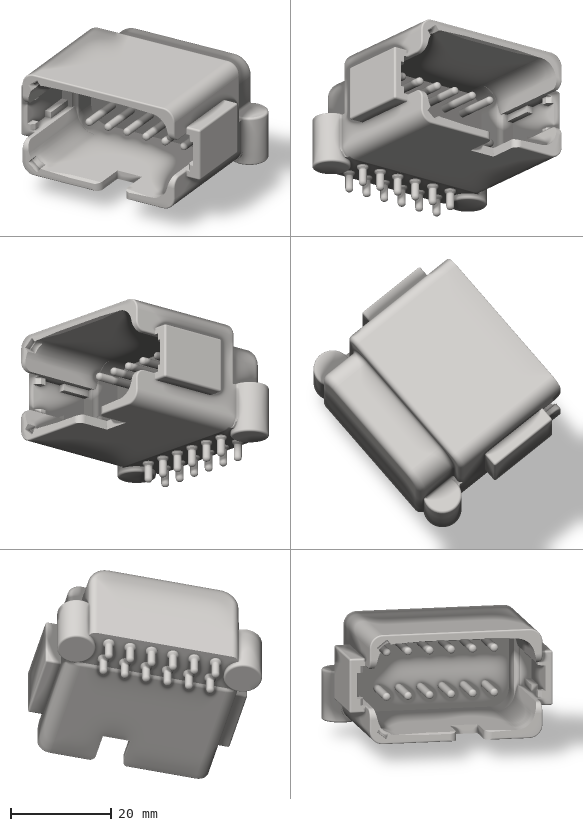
import cadquery as cq
import math


SHELL_WIDTH = 35.3
SHELL_HEIGHT = 22.25
SHELL_LENGTH = 26.2
SHELL_CORNER_RADIUS = 2.65
SHELL_REAR_FILLET = 0.95
MOUTH_FILLET = 0.3
SHELL_HALF_WIDTH = SHELL_WIDTH / 2
MID_HEIGHT = SHELL_HEIGHT / 2

CAVITY_WIDTH = 31.9
CAVITY_HEIGHT = 18.6
CAVITY_CORNER_RADIUS = 3.8
CAVITY_DEPTH = 24.3
FRONT_FLOOR_WIDTH = 30.5
FRONT_WALL_TILT = 14.4
LEAD_IN_DROP = 0.25
LEAD_IN_DEPTH = 0.9
LEAD_IN_FLAT_X = 6.6
LEAD_IN_END_X = 11.8
LEAD_IN_END_SCALE = 0.02
CAVITY_HALF_WIDTH = CAVITY_WIDTH / 2

SLOT_HEIGHT = 8.05
SLOT_MOUTH_RADIUS = 2.0
HOUSING_FRONT = 4.8
HOUSING_REAR = 19.85
HOUSING_HALF_WIDTH = 20.78
HOUSING_HEIGHT = 11.1
HOUSING_FILLET = 0.4
HOUSING_WALL = 1.5
RECESS_HALF_WIDTH = 19.25
RECESS_END = HOUSING_REAR - HOUSING_WALL
RECESS_END_FILLET = 0.95

STOP_HEIGHT = 1.4
STOP_INNER_X = 17.85
STOP_LENGTH = 2.0
STOP_BEVEL_X = 0.7
STOP_BEVEL_Y = 0.8
REAR_STOP_FRONT = 11.8

NOTCH_CENTER_X = 3.05
NOTCH_WIDTH = 5.7
NOTCH_DEPTH = 7.3
NOTCH_CORNER_RADIUS = 1.5

KEY_ANGLE = 128
KEY_WIDTH = 2.6
KEY_REACH = 4.95
KEY_DEPTH = 1.2
KEY_FILLET = 0.85

BLOCK_HALF_WIDTH = 15.45
BLOCK_BOTTOM = 0.42
BLOCK_TOP = 19.55
BLOCK_REAR = 34.9
BLOCK_CORNER_RADIUS = 4.0
BLOCK_REAR_FILLET = 1.5
BLOCK_COVE = 0.5

EAR_RADIUS = 3.825
EAR_OUTER_X = 20.975
EAR_X = EAR_OUTER_X - EAR_RADIUS
EAR_Y = 30.45
EAR_BOTTOM = -0.7
EAR_TOP = 9.75
EAR_TOP_FILLET = 0.45
EAR_BOTTOM_FILLET = 0.4
WEB_INNER_X = 14.0
WEB_FLARE = 0.25
WEB_FLARE_RADIUS = 0.5

PIN_COLUMNS = 6
PIN_PITCH = 4.4
PIN_DIAMETER = 1.6
PIN_TIP_FILLET = 0.7
CONTACT_ROW_SPACING = 9.1
CONTACT_TIP_Y = 14.5
TAIL_ROWS_Y = (28.2, 32.65)
TOTAL_HEIGHT = 25.99
TAIL_TIP_Z = SHELL_HEIGHT - TOTAL_HEIGHT
TAIL_COLLAR_DIAMETER = 2.3
TAIL_COLLAR_BOTTOM = -0.4

OVERLAP = 1.0
PICK_MARGIN = 0.01


def box(x0, x1, y0, y1, z0, z1):
    return cq.Workplane("XY").box(x1 - x0, y1 - y0, z1 - z0, centered=False).translate((x0, y0, z0))


def mirrored(body):
    """The body together with its mirror image across X = 0."""
    return body.union(body.mirror("YZ"))


def rounded_bar(width, height, radius, y0, y1):
    bar = box(-width / 2, width / 2, y0, y1, MID_HEIGHT - height / 2, MID_HEIGHT + height / 2)
    return bar.edges("|Y").fillet(radius)


def slot_mouth():
    """Side slot from the mouth back into the housing, flaring open at the mouth."""
    half = SLOT_HEIGHT / 2
    flared = half + SLOT_MOUTH_RADIUS
    diagonal = SLOT_MOUTH_RADIUS * (1 - math.sqrt(0.5))
    rear = HOUSING_FRONT + OVERLAP
    profile = (
        cq.Workplane("YZ")
        .moveTo(rear, -half)
        .lineTo(SLOT_MOUTH_RADIUS, -half)
        .threePointArc((diagonal, -half - diagonal), (0, -flared))
        .lineTo(0, flared)
        .threePointArc((diagonal, half + diagonal), (SLOT_MOUTH_RADIUS, half))
        .lineTo(rear, half)
        .close()
    )
    inner_x = CAVITY_HALF_WIDTH - OVERLAP
    slot = profile.extrude(SHELL_HALF_WIDTH + OVERLAP - inner_x)
    return slot.translate((inner_x, 0, MID_HEIGHT))


def make_shell():
    shell = rounded_bar(SHELL_WIDTH, SHELL_HEIGHT, SHELL_CORNER_RADIUS, 0, SHELL_LENGTH)
    shell = shell.faces(">Y").edges().fillet(SHELL_REAR_FILLET)
    shell = shell.cut(mirrored(slot_mouth()))
    for mouth_edge_z in (0, SHELL_HEIGHT):
        mouth_edge = cq.selectors.NearestToPointSelector((0, 0, mouth_edge_z))
        shell = shell.edges(mouth_edge).fillet(MOUTH_FILLET)
    return shell


def latch_housing():
    housing = box(
        SHELL_HALF_WIDTH - OVERLAP,
        HOUSING_HALF_WIDTH,
        HOUSING_FRONT,
        HOUSING_REAR,
        MID_HEIGHT - HOUSING_HEIGHT / 2,
        MID_HEIGHT + HOUSING_HEIGHT / 2,
    )
    return housing.edges("not <X").fillet(HOUSING_FILLET)


def rounded_end_plan(outer_x, height):
    """Slab from the centre to outer_x whose far end is rounded into the narrower cavity wall."""
    round_end = RECESS_END + RECESS_END_FILLET
    profile = (
        cq.Workplane("XY")
        .lineTo(outer_x, 0)
        .lineTo(outer_x, RECESS_END)
        .lineTo(CAVITY_HALF_WIDTH + RECESS_END_FILLET, RECESS_END)
        .radiusArc((CAVITY_HALF_WIDTH, round_end), -RECESS_END_FILLET)
        .lineTo(0, round_end)
        .close()
    )
    return profile.extrude(height / 2, both=True).translate((0, 0, MID_HEIGHT))


def latch_recess():
    recess = rounded_end_plan(RECESS_HALF_WIDTH, SLOT_HEIGHT)
    in_front = box(0, RECESS_HALF_WIDTH, 0, HOUSING_FRONT, 0, SHELL_HEIGHT)
    return recess.cut(in_front)


def latch_stops():
    outer_x = RECESS_HALF_WIDTH + HOUSING_WALL / 2
    front_stop = (
        cq.Workplane("XY")
        .moveTo(outer_x, HOUSING_FRONT)
        .lineTo(STOP_INNER_X + STOP_BEVEL_X, HOUSING_FRONT)
        .lineTo(STOP_INNER_X, HOUSING_FRONT + STOP_BEVEL_Y)
        .lineTo(STOP_INNER_X, HOUSING_FRONT + STOP_LENGTH)
        .lineTo(outer_x, HOUSING_FRONT + STOP_LENGTH)
        .close()
        .extrude(STOP_HEIGHT)
    )
    rear_stop = box(STOP_INNER_X, outer_x, REAR_STOP_FRONT, RECESS_END, 0, STOP_HEIGHT)
    pair = front_stop.union(rear_stop)
    lower = pair.translate((0, 0, MID_HEIGHT - SLOT_HEIGHT / 2))
    upper = pair.translate((0, 0, MID_HEIGHT + SLOT_HEIGHT / 2 - STOP_HEIGHT))
    return lower.union(upper)


def front_cavity():
    """Six-sided front part of the cavity, widest at mid-height, with round floor and roof corners."""
    half_height = CAVITY_HEIGHT / 2
    half_floor = FRONT_FLOOR_WIDTH / 2
    half_middle = half_floor + half_height * math.tan(math.radians(FRONT_WALL_TILT))
    corners = [
        (half_floor, half_height),
        (half_middle, 0),
        (half_floor, -half_height),
        (-half_floor, -half_height),
        (-half_middle, 0),
        (-half_floor, half_height),
    ]
    length = RECESS_END + RECESS_END_FILLET
    body = cq.Workplane("XZ").polyline(corners).close().extrude(-length)
    body = body.edges("|Y").edges("<Z or >Z").fillet(CAVITY_CORNER_RADIUS)
    body = body.translate((0, 0, MID_HEIGHT))
    return body.intersect(mirrored(rounded_end_plan(SHELL_HALF_WIDTH, SHELL_HEIGHT)))


def cavity():
    rear = rounded_bar(CAVITY_WIDTH, CAVITY_HEIGHT, CAVITY_CORNER_RADIUS, RECESS_END, CAVITY_DEPTH)
    return front_cavity().union(rear)


def lead_in_section(x, scale):
    """Triangular wire of the lead-in above the cavity roof, in the plane at x."""
    roof = MID_HEIGHT + CAVITY_HEIGHT / 2
    corners = (
        (x, 0, roof),
        (x, 0, roof + scale * LEAD_IN_DROP),
        (x, scale * LEAD_IN_DEPTH, roof),
    )
    return cq.Wire.makePolygon([cq.Vector(*corner) for corner in corners], close=True)


def lead_ins():
    """Shallow ramps into the cavity roof and floor, even in the middle and fading out sideways."""
    middle_section = lead_in_section(LEAD_IN_FLAT_X, 1)
    end_section = lead_in_section(LEAD_IN_END_X, LEAD_IN_END_SCALE)
    middle = cq.Solid.makeLoft([lead_in_section(0, 1), middle_section], True)
    fade = cq.Solid.makeLoft([middle_section, end_section], True)
    roof_ramp = mirrored(cq.Workplane(middle).union(cq.Workplane(fade)))
    return roof_ramp.union(roof_ramp.mirror("XY", (0, 0, MID_HEIGHT)))


def floor_notch():
    """Notch through the floor, with its two mouth corners rounded outwards."""
    half = NOTCH_WIDTH / 2
    radius = NOTCH_CORNER_RADIUS
    profile = (
        cq.Workplane("XY")
        .moveTo(-half, NOTCH_DEPTH)
        .lineTo(-half, radius)
        .radiusArc((-half - radius, 0), radius)
        .lineTo(half + radius, 0)
        .radiusArc((half, radius), radius)
        .lineTo(half, NOTCH_DEPTH)
        .close()
    )
    notch = profile.extrude(MID_HEIGHT)
    return notch.translate((NOTCH_CENTER_X, 0, -OVERLAP))


def key_groove(side):
    """Groove reaching out from a cavity corner: side is +1 for the upper one, -1 for the lower."""
    corner_x = -CAVITY_HALF_WIDTH + CAVITY_CORNER_RADIUS
    corner_z = MID_HEIGHT + side * (CAVITY_HEIGHT / 2 - CAVITY_CORNER_RADIUS)
    round_start = CAVITY_CORNER_RADIUS + KEY_FILLET
    profile = (
        cq.Workplane("XY")
        .moveTo(CAVITY_CORNER_RADIUS - OVERLAP, 0)
        .lineTo(KEY_REACH, 0)
        .lineTo(KEY_REACH, KEY_DEPTH)
        .lineTo(round_start, KEY_DEPTH)
        .radiusArc((CAVITY_CORNER_RADIUS, KEY_DEPTH + KEY_FILLET), -KEY_FILLET)
        .lineTo(CAVITY_CORNER_RADIUS - OVERLAP, KEY_DEPTH + KEY_FILLET)
        .close()
    )
    groove = profile.extrude(KEY_WIDTH / 2, both=True)
    groove = groove.rotate((0, 0, 0), (0, 1, 0), -side * KEY_ANGLE)
    return groove.translate((corner_x, 0, corner_z))


def rear_block():
    block = box(
        -BLOCK_HALF_WIDTH,
        BLOCK_HALF_WIDTH,
        SHELL_LENGTH - OVERLAP,
        BLOCK_REAR,
        BLOCK_BOTTOM,
        BLOCK_TOP,
    )
    block = block.edges("|Y and >Z").fillet(BLOCK_CORNER_RADIUS)
    return block.faces(">Y").edges("not <Z").fillet(BLOCK_REAR_FILLET)


def ear_web():
    """Web carrying the shell's side and lower corner back to the ear, flaring out into it."""
    front = SHELL_LENGTH - SHELL_REAR_FILLET
    outer_x = SHELL_HALF_WIDTH + WEB_FLARE
    ear_front_y = EAR_Y - math.sqrt(EAR_RADIUS**2 - (outer_x - EAR_X) ** 2)
    profile = (
        cq.Workplane("XY")
        .moveTo(WEB_INNER_X, front)
        .lineTo(SHELL_HALF_WIDTH, front)
        .lineTo(SHELL_HALF_WIDTH, SHELL_LENGTH)
        .radiusArc((outer_x, ear_front_y), WEB_FLARE_RADIUS)
        .lineTo(outer_x, EAR_Y)
        .lineTo(WEB_INNER_X, EAR_Y)
        .close()
    )
    height = EAR_TOP - EAR_TOP_FILLET - BLOCK_BOTTOM
    web = profile.extrude(height).translate((0, 0, BLOCK_BOTTOM))
    shell_end = rounded_bar(SHELL_WIDTH, SHELL_HEIGHT, SHELL_CORNER_RADIUS, front, SHELL_LENGTH)
    flare = rounded_bar(
        2 * outer_x,
        SHELL_HEIGHT + 2 * WEB_FLARE,
        SHELL_CORNER_RADIUS + WEB_FLARE,
        SHELL_LENGTH,
        ear_front_y + WEB_FLARE,
    )
    return web.intersect(shell_end.union(flare))


def mounting_ear():
    ear = cq.Workplane("XY").circle(EAR_RADIUS).extrude(EAR_TOP - EAR_BOTTOM)
    ear = ear.faces(">Z").edges().fillet(EAR_TOP_FILLET)
    ear = ear.faces("<Z").edges().fillet(EAR_BOTTOM_FILLET)
    ear = ear.translate((EAR_X, EAR_Y, EAR_BOTTOM))
    return ear.union(ear_web())


def ear_cove():
    """Concave rounding where the top of the ear meets the side of the rear block."""
    cove = (
        cq.Workplane("XZ")
        .moveTo(BLOCK_HALF_WIDTH - OVERLAP, EAR_TOP)
        .lineTo(BLOCK_HALF_WIDTH + BLOCK_COVE, EAR_TOP)
        .radiusArc((BLOCK_HALF_WIDTH, EAR_TOP + BLOCK_COVE), BLOCK_COVE)
        .lineTo(BLOCK_HALF_WIDTH - OVERLAP, EAR_TOP + BLOCK_COVE)
        .close()
    )
    rear = EAR_Y + EAR_RADIUS - 2 * EAR_TOP_FILLET
    length = rear - SHELL_LENGTH + OVERLAP
    return cove.extrude(length).translate((0, rear, 0))


def column_positions():
    first = -PIN_PITCH * (PIN_COLUMNS - 1) / 2
    return [first + PIN_PITCH * column for column in range(PIN_COLUMNS)]


def contact_pin(x, z):
    pin = cq.Workplane("XZ").circle(PIN_DIAMETER / 2).extrude(CAVITY_DEPTH + OVERLAP - CONTACT_TIP_Y)
    pin = pin.faces("<Y").edges().fillet(PIN_TIP_FILLET)
    return pin.translate((x, CAVITY_DEPTH + OVERLAP, z))


def tail_pin(x, y):
    top = BLOCK_BOTTOM + OVERLAP
    pin = cq.Workplane("XY").circle(PIN_DIAMETER / 2).extrude(top - TAIL_TIP_Z)
    pin = pin.faces("<Z").edges().fillet(PIN_TIP_FILLET).translate((0, 0, TAIL_TIP_Z))
    pin_radius = PIN_DIAMETER / 2
    collar_radius = TAIL_COLLAR_DIAMETER / 2
    collar = (
        cq.Workplane("XZ")
        .moveTo(0, TAIL_COLLAR_BOTTOM)
        .lineTo(pin_radius, TAIL_COLLAR_BOTTOM)
        .lineTo(collar_radius, 0)
        .lineTo(collar_radius, top)
        .lineTo(0, top)
        .close()
        .revolve(360, (0, 0, 0), (0, 1, 0))
    )
    return pin.union(collar).translate((x, y, 0))


def shell_with_block():
    """Shell and rear block joined, with a cove around the sides and top of the block."""
    body = make_shell().union(rear_block())
    joint = cq.selectors.BoxSelector(
        (-BLOCK_HALF_WIDTH - PICK_MARGIN, SHELL_LENGTH - PICK_MARGIN, BLOCK_BOTTOM),
        (BLOCK_HALF_WIDTH + PICK_MARGIN, SHELL_LENGTH + PICK_MARGIN, BLOCK_TOP + PICK_MARGIN),
    )
    return body.edges(joint).fillet(BLOCK_COVE)


result = shell_with_block()
result = result.union(mirrored(latch_housing()))
result = result.cut(cavity())
result = result.cut(lead_ins())
result = result.cut(mirrored(latch_recess()))
result = result.union(mirrored(latch_stops()))
result = result.cut(floor_notch())
for groove_side in (1, -1):
    result = result.cut(key_groove(groove_side))
result = result.union(mirrored(mounting_ear()))
result = result.union(mirrored(ear_cove()))
for pin_x in column_positions():
    for row in (-1, 1):
        result = result.union(contact_pin(pin_x, MID_HEIGHT + row * CONTACT_ROW_SPACING / 2))
    for tail_y in TAIL_ROWS_Y:
        result = result.union(tail_pin(pin_x, tail_y))